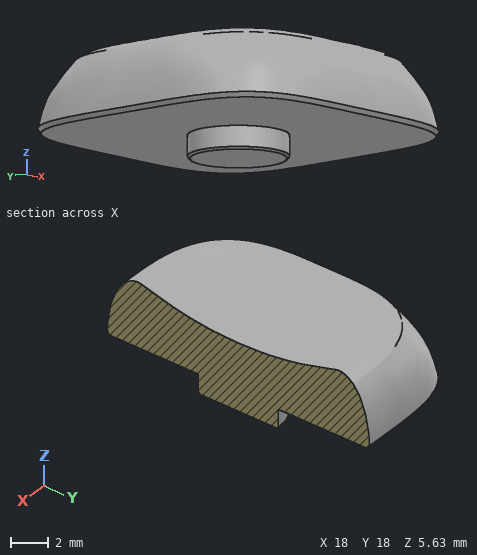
import cadquery as cq
import math

shapes = cq.occ_impl.shapes

width = 17.97
depth = 17.95
total_height = 5.62

stem_diameter = 5.5
stem_length = 1.28
stem_chamfer = 0.13

half_width = width / 2
crest_drop = 0.07
base_inset = 0.15
edge_height = 0.27
base_exponent = 4.36
base_section = (half_width - base_inset, stem_length, base_exponent)
edge_section = (half_width, stem_length + edge_height, base_exponent)
lower_wall_section = (8.9, 2.43, 4.1)
middle_wall_section = (8.7, 3.47, 3.7)
upper_wall_section = (8.34, 4.42, 3.25)
rim_section = (7.87, 5.1, 3.05)
crest_section = (7.15, total_height - crest_drop, 3.2)
dish_edge_section = (6.5, 5.52, 3.5)

rim_corner_rise = 0.1
crest_corner_rise = 0.04

dish_center_height = 4.5
dish_ring_fractions = (0.35, 0.7)
points_per_dish_ring = 16

points_per_outline = 48


def outline(section, corner_rise=0.0):
    """Closed rounded-square curve, optionally lifted at its four corners."""
    half, height, exponent = section
    points = []
    for i in range(points_per_outline):
        angle = 2 * math.pi * i / points_per_outline
        c = math.cos(angle)
        s = math.sin(angle)
        radius = half / (abs(c) ** exponent + abs(s) ** exponent) ** (1 / exponent)
        lift = corner_rise * math.sin(2 * angle) ** 2
        points.append(cq.Vector(radius * c, radius * s * depth / width, height + lift))
    return cq.Wire.assembleEdges([cq.Edge.makeSpline(points, periodic=True)])


def dish_points():
    """Points of a parabolic bowl: its center and rings shaped like the dish edge."""
    edge_half, edge_level, exponent = dish_edge_section
    points = [cq.Vector(0, 0, dish_center_height)]
    for fraction in dish_ring_fractions:
        height = dish_center_height + (edge_level - dish_center_height) * fraction**2
        ring = outline((edge_half * fraction, height, exponent))
        for i in range(points_per_dish_ring):
            points.append(ring.positionAt(i / points_per_dish_ring))
    return points


def make_cap():
    """Solid cap bounded by its base, side wall, rounded rim and dish."""
    base = outline(base_section)
    edge = outline(edge_section)
    lower_wall = outline(lower_wall_section)
    middle_wall = outline(middle_wall_section)
    upper_wall = outline(upper_wall_section)
    rim = outline(rim_section, rim_corner_rise)
    crest = outline(crest_section, crest_corner_rise)
    dish_edge = outline(dish_edge_section, crest_corner_rise)

    lower_edge = shapes.loft(base, edge, ruled=True)
    wall = shapes.loft(edge, lower_wall, middle_wall, upper_wall, rim)
    rounded_rim = shapes.loft(rim, crest, dish_edge)
    dish = cq.Face.makeNSidedSurface(dish_edge.Edges(), dish_points())
    bottom = cq.Face.makeFromWires(base)

    faces = [bottom, dish]
    for surface in (lower_edge, wall, rounded_rim):
        faces.extend(surface.Faces())
    return shapes.solid(shapes.shell(*faces, tol=0.001))


def make_stem():
    """Round stem that overlaps the cap up to the lower edge height."""
    return (
        cq.Workplane("XY")
        .circle(stem_diameter / 2)
        .extrude(stem_length + edge_height)
        .faces("<Z")
        .chamfer(stem_chamfer)
    )


result = cq.Workplane(obj=make_cap()).union(make_stem())